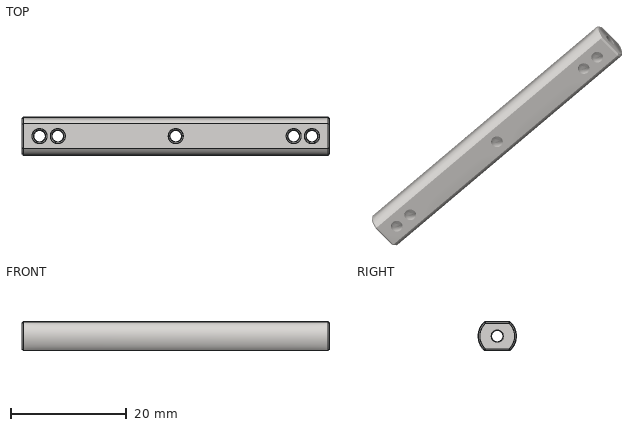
import cadquery as cq

bar_length = 53.12
bar_diameter = 6.6
flat_to_flat = 5.0
end_chamfer = 0.3

bore_diameter = 2.0
cross_hole_diameter = 2.0
countersink_diameter = 2.6
countersink_angle = 90.0

outer_hole_offset = 23.5
inner_hole_offset = 20.35


def make_bar():
    """Round bar along X with flats on top and bottom and chamfered ends."""
    rod = cq.Workplane("YZ").circle(bar_diameter / 2).extrude(bar_length / 2, both=True)
    flats = cq.Workplane("XY").box(bar_length, bar_diameter, flat_to_flat)
    return rod.intersect(flats).faces("<X or >X").chamfer(end_chamfer)


def drill_axial_bore(body):
    """Through bore along the bar axis."""
    bore = cq.Workplane("YZ").circle(bore_diameter / 2).extrude(bar_length / 2, both=True)
    return body.cut(bore)


def drill_cross_holes(body):
    """Vertical through holes, countersunk on the top flat, mirrored about mid-length."""
    hole_positions = [(0, 0)]
    for offset in (inner_hole_offset, outer_hole_offset):
        hole_positions += [(-offset, 0), (offset, 0)]
    top_flat = body.faces(">Z").workplane(origin=(0, 0, flat_to_flat / 2))
    return top_flat.pushPoints(hole_positions).cskHole(
        cross_hole_diameter, countersink_diameter, countersink_angle
    )


result = drill_cross_holes(drill_axial_bore(make_bar()))